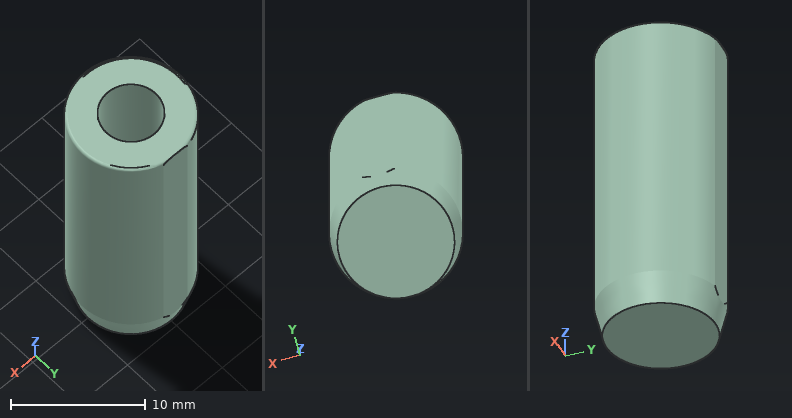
import cadquery as cq
import math

length = 25.0
diameter = 10.0
radius = diameter / 2
top_fillet = 0.25

taper_height = 2.5
tip_diameter = 8.75

bore_diameter = 5.0
bore_radius = bore_diameter / 2
bore_depth = 15.0
point_angle = 118.0
point_depth = bore_radius / math.tan(math.radians(point_angle / 2))

flat_depth = 0.15
flat_y = radius - flat_depth

bore_floor = length - bore_depth
body = (
    cq.Workplane("XZ")
    .moveTo(0, 0)
    .lineTo(tip_diameter / 2, 0)
    .lineTo(radius, taper_height)
    .lineTo(radius, length - top_fillet)
    .radiusArc((radius - top_fillet, length), -top_fillet)
    .lineTo(bore_radius, length)
    .lineTo(bore_radius, bore_floor)
    .lineTo(0, bore_floor - point_depth)
    .close()
    .revolve(360, (0, 0, 0), (0, 1, 0))
)

flat_cut = (
    cq.Workplane("XY")
    .box(diameter, radius, length, centered=(True, False, False))
    .translate((0, flat_y, 0))
)

result = body.cut(flat_cut)